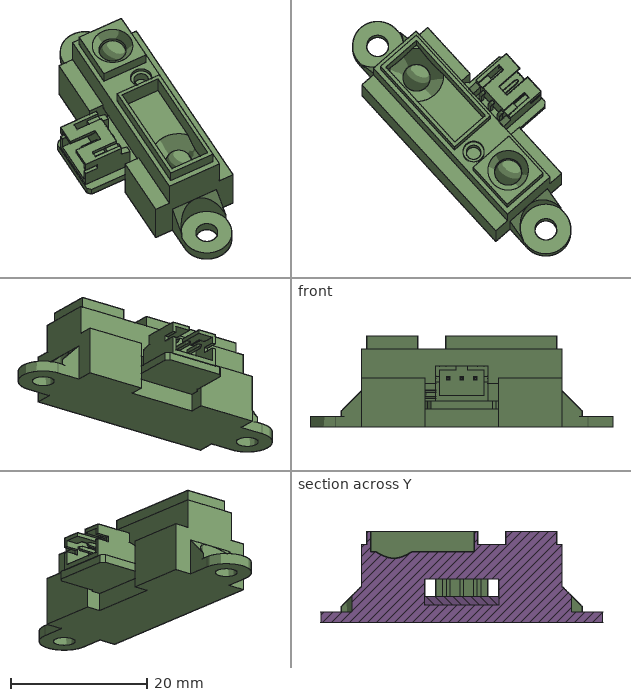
import cadquery as cq
import math

BLOCK_LENGTH = 29.55
BASE_WIDTH = 13.0
BASE_HEIGHT = 7.2
UPPER_WIDTH = 8.4
UPPER_TOP = 11.53
HOUSING_TOP = 13.45

OVERALL_LENGTH = 44.5
EAR_RADIUS = 3.7
EAR_THICKNESS = 1.6
EAR_HOLE_RADIUS = 1.6
EAR_CENTER_X = OVERALL_LENGTH / 2 - EAR_RADIUS
GUSSET_TOP = 5.35
SCREW_CLEARANCE_RADIUS = EAR_CENTER_X - BLOCK_LENGTH / 2

FRAME_WIDTH = 7.08
EMITTER_FRAME_LEFT = -13.97
EMITTER_FRAME_RIGHT = -6.45
RECEIVER_FRAME_LEFT = -2.35
RECEIVER_FRAME_RIGHT = 13.97
POCKET_LEFT = -1.82
POCKET_RIGHT = 13.35
POCKET_WIDTH = 6.0
POCKET_FLOOR = 10.45

LENS_RADIUS = 2.0
EMITTER_X = -10.25
EMITTER_CONE_RADIUS = 3.0
EMITTER_CONE_DEPTH = 1.02
EMITTER_DOME_TOP = 13.3
RECEIVER_X = 9.95
RECEIVER_CONE_RADIUS = 4.0
RECEIVER_CONE_DEPTH = 1.85
RECEIVER_DOME_TOP = POCKET_FLOOR

POST_X = -4.4
POST_Y = 1.6
COUNTERBORE_RADIUS = 1.55
COUNTERBORE_DEPTH = 0.55
POST_HOLE_RADIUS = 1.05
POST_HOLE_DEPTH = 2.0
COLLAR_RADIUS = 2.0
COLLAR_BOTTOM = 5.47
KNOB_RADIUS = 1.55
KNOB_TOP = 5.35
KNOB_BOTTOM = 4.23
KNOB_CHAMFER = 0.25

SLOT_WIDTH = 10.85
SLOT_CEILING = 6.4
SLOT_BACK_WALL = 0.55
SLOT_BACK_Y = UPPER_WIDTH / 2 - SLOT_BACK_WALL

BOARD_BOTTOM = 2.65
BOARD_TOP = 3.85
OVERALL_DEPTH = 18.9
BOARD_FRONT_Y = BASE_WIDTH / 2 - OVERALL_DEPTH
BOARD_NOSE_WIDTH = 10.05
BOARD_SHOULDER_Y = -5.6
BOARD_CORNER_CHAMFER = 0.55

CONNECTOR_WIDTH = 7.65
CONNECTOR_TOP = 9.0
CONNECTOR_FRONT_Y = -12.25
CONNECTOR_BACK_Y = -6.25
CONNECTOR_WALL = 0.55
SOCKET_FLOOR = 4.67
SOCKET_CEILING = 8.4
SOCKET_BACK_Y = -8.1
KEY_SLOT_WIDTH = 1.75
LATCH_SLOT_WIDTH = 1.0
LATCH_SLOT_FRONT_Y = -10.3
SIDE_NOTCH_BOTTOM = 6.68
SIDE_NOTCH_TOP = 7.48
SIDE_NOTCH_BACK_Y = -10.25
LEG_WIDTH = 1.0
LEG_BACK_Y = -4.75
LEG_FRONT_HEIGHT = 7.55
LEG_BACK_HEIGHT = 7.15

PIN_COUNT = 3
PIN_PITCH = 2.0
PIN_SIZE = 0.55
PIN_CENTER_Z = 7.2
PIN_BACK_Y = -5.45
PIN_TIP_Y = -11.1
PIN_TIP_LENGTH = 0.5
PIN_TIP_SIZE = 0.25


def box(x_range, y_range, z_range):
    """Axis-aligned block between the given limits."""
    lengths = [high - low for low, high in (x_range, y_range, z_range)]
    corner = (x_range[0], y_range[0], z_range[0])
    return cq.Workplane("XY").box(*lengths, centered=False).translate(corner)


def centered(width):
    """Limits of a width centred on zero."""
    return (-width / 2, width / 2)


def cylinder(radius, x, y, bottom, top):
    """Upright cylinder at (x, y)."""
    return cq.Workplane("XY", origin=(x, y, bottom)).circle(radius).extrude(top - bottom)


def ear(side):
    """Mounting ear with a sloped gusset, at the end given by side (-1 or 1)."""
    wall_x = BLOCK_LENGTH / 2
    slope_end_x = wall_x + GUSSET_TOP - EAR_THICKNESS
    gusset = (
        cq.Workplane("XZ")
        .polyline([
            (side * wall_x, 0),
            (side * EAR_CENTER_X, 0),
            (side * EAR_CENTER_X, EAR_THICKNESS),
            (side * slope_end_x, EAR_THICKNESS),
            (side * wall_x, GUSSET_TOP),
        ])
        .close()
        .extrude(EAR_RADIUS, both=True)
    )
    center_x = side * EAR_CENTER_X
    clearance = cylinder(SCREW_CLEARANCE_RADIUS, center_x, 0, EAR_THICKNESS, GUSSET_TOP)
    tab = cylinder(EAR_RADIUS, center_x, 0, 0, EAR_THICKNESS)
    hole = cylinder(EAR_HOLE_RADIUS, center_x, 0, 0, EAR_THICKNESS)
    return gusset.cut(clearance).union(tab).cut(hole)


def lens_recess(x, rim_radius, rim_z, cone_depth, dome_top):
    """Cutter for a conical recess with a bore reaching down to the base of the lens dome."""
    bore_top = rim_z - cone_depth
    dome_base = dome_top - LENS_RADIUS
    return (
        cq.Workplane("XZ", origin=(x, 0, 0))
        .polyline([
            (0, rim_z),
            (rim_radius, rim_z),
            (LENS_RADIUS, bore_top),
            (LENS_RADIUS, dome_base),
            (0, dome_base),
        ])
        .close()
        .revolve(360, (0, 0, 0), (0, 1, 0))
    )


def lens_dome(x, dome_top):
    """Hemispherical lens filling the bottom of its bore."""
    arc_mid = LENS_RADIUS * math.sqrt(0.5)
    return (
        cq.Workplane("XZ", origin=(x, 0, dome_top - LENS_RADIUS))
        .lineTo(LENS_RADIUS, 0)
        .threePointArc((arc_mid, arc_mid), (0, LENS_RADIUS))
        .close()
        .revolve(360, (0, 0, 0), (0, 1, 0))
    )


def post():
    """Collar, short neck and chamfered knob hanging from the ceiling of the board slot."""
    collar = cylinder(COLLAR_RADIUS, POST_X, POST_Y, COLLAR_BOTTOM, SLOT_CEILING)
    knob = cylinder(KNOB_RADIUS, POST_X, POST_Y, KNOB_BOTTOM, KNOB_TOP)
    knob = knob.edges("%CIRCLE").chamfer(KNOB_CHAMFER)
    neck = cylinder(KNOB_RADIUS - KNOB_CHAMFER, POST_X, POST_Y, KNOB_TOP, COLLAR_BOTTOM)
    return collar.union(neck).union(knob)


def stepped_block():
    """Wide base, narrower upper block and the two lens frames on its roof."""
    block_x = centered(BLOCK_LENGTH)
    base = box(block_x, centered(BASE_WIDTH), (0, BASE_HEIGHT))
    upper = box(block_x, centered(UPPER_WIDTH), (0, UPPER_TOP))
    frame_z = (UPPER_TOP, HOUSING_TOP)
    emitter_frame = box((EMITTER_FRAME_LEFT, EMITTER_FRAME_RIGHT), centered(FRAME_WIDTH), frame_z)
    receiver_frame = box((RECEIVER_FRAME_LEFT, RECEIVER_FRAME_RIGHT), centered(FRAME_WIDTH), frame_z)
    return base.union(upper).union(emitter_frame).union(receiver_frame)


def add_emitter(body):
    """Sink the emitter lens into the top of its frame."""
    recess = lens_recess(
        EMITTER_X, EMITTER_CONE_RADIUS, HOUSING_TOP, EMITTER_CONE_DEPTH, EMITTER_DOME_TOP
    )
    return body.cut(recess).union(lens_dome(EMITTER_X, EMITTER_DOME_TOP))


def add_receiver(body):
    """Cut the receiver pocket and sink the lens into its floor, within the pocket's outline."""
    pocket_x = (POCKET_LEFT, POCKET_RIGHT)
    pocket = box(pocket_x, centered(POCKET_WIDTH), (POCKET_FLOOR, HOUSING_TOP))
    pocket_column = box(pocket_x, centered(POCKET_WIDTH), (0, HOUSING_TOP))
    recess = lens_recess(
        RECEIVER_X, RECEIVER_CONE_RADIUS, POCKET_FLOOR, RECEIVER_CONE_DEPTH, RECEIVER_DOME_TOP
    ).intersect(pocket_column)
    return body.cut(pocket).cut(recess).union(lens_dome(RECEIVER_X, RECEIVER_DOME_TOP))


def cut_board_slot(body):
    """Open the recess between the front blocks and the board slot behind it."""
    slot_x = centered(SLOT_WIDTH)
    upper_front_y = -UPPER_WIDTH / 2
    front_recess = box(slot_x, (-BASE_WIDTH / 2, upper_front_y), (0, BASE_HEIGHT))
    slot = box(slot_x, (upper_front_y, SLOT_BACK_Y), (BOARD_BOTTOM, SLOT_CEILING))
    return body.cut(front_recess).cut(slot)


def roof_hole():
    """Cutter for the blind counterbored hole in the roof."""
    counterbore = cylinder(COUNTERBORE_RADIUS, POST_X, POST_Y, UPPER_TOP - COUNTERBORE_DEPTH, UPPER_TOP)
    hole = cylinder(POST_HOLE_RADIUS, POST_X, POST_Y, UPPER_TOP - POST_HOLE_DEPTH, UPPER_TOP)
    return counterbore.union(hole)


def make_housing():
    """Sensor housing with lenses, board slot and mounting ears."""
    body = add_receiver(add_emitter(stepped_block()))
    body = cut_board_slot(body).union(post()).cut(roof_hole())
    for side in (-1, 1):
        body = body.union(ear(side))
    return body


def make_board():
    """Circuit board that fills the slot and narrows in front of it."""
    half_slot = SLOT_WIDTH / 2
    half_nose = BOARD_NOSE_WIDTH / 2
    step = half_slot - half_nose
    right_side = [
        (half_slot, SLOT_BACK_Y),
        (half_slot, BOARD_SHOULDER_Y),
        (half_nose, BOARD_SHOULDER_Y - step),
        (half_nose, BOARD_FRONT_Y + BOARD_CORNER_CHAMFER),
        (half_nose - BOARD_CORNER_CHAMFER, BOARD_FRONT_Y),
    ]
    left_side = [(-x, y) for x, y in reversed(right_side)]
    return (
        cq.Workplane("XY", origin=(0, 0, BOARD_BOTTOM))
        .polyline(right_side + left_side)
        .close()
        .extrude(BOARD_TOP - BOARD_BOTTOM)
    )


def connector_leg(inner_x, outer_x):
    """Leg behind the connector with a gently sloping top."""
    return (
        cq.Workplane("YZ", origin=(inner_x, 0, 0))
        .polyline([
            (CONNECTOR_BACK_Y, BOARD_TOP),
            (LEG_BACK_Y, BOARD_TOP),
            (LEG_BACK_Y, LEG_BACK_HEIGHT),
            (CONNECTOR_BACK_Y, LEG_FRONT_HEIGHT),
        ])
        .close()
        .extrude(outer_x - inner_x)
    )


def contact_pin(x):
    """Square pin with a tapered tip, bent down to the board behind the connector."""
    top = PIN_CENTER_Z + PIN_SIZE / 2
    bottom = PIN_CENTER_Z - PIN_SIZE / 2
    shoulder_y = PIN_TIP_Y + PIN_TIP_LENGTH
    outer_bend = PIN_BACK_Y - CONNECTOR_BACK_Y
    inner_bend = outer_bend - PIN_SIZE
    bend_z = top - outer_bend
    diagonal = math.sqrt(0.5)
    shank = (
        cq.Workplane("YZ", origin=(x - PIN_SIZE / 2, 0, 0))
        .moveTo(shoulder_y, bottom)
        .lineTo(shoulder_y, top)
        .lineTo(CONNECTOR_BACK_Y, top)
        .threePointArc(
            (CONNECTOR_BACK_Y + outer_bend * diagonal, bend_z + outer_bend * diagonal),
            (PIN_BACK_Y, bend_z),
        )
        .lineTo(PIN_BACK_Y, BOARD_TOP)
        .lineTo(PIN_BACK_Y - PIN_SIZE, BOARD_TOP)
        .lineTo(PIN_BACK_Y - PIN_SIZE, bend_z)
        .threePointArc(
            (CONNECTOR_BACK_Y + inner_bend * diagonal, bend_z + inner_bend * diagonal),
            (CONNECTOR_BACK_Y, bottom),
        )
        .close()
        .extrude(PIN_SIZE)
    )
    tip = (
        cq.Workplane("XZ", origin=(x, shoulder_y, PIN_CENTER_Z))
        .rect(PIN_SIZE, PIN_SIZE)
        .workplane(offset=PIN_TIP_LENGTH)
        .rect(PIN_TIP_SIZE, PIN_TIP_SIZE)
        .loft(ruled=True)
    )
    return shank.union(tip)


def make_connector():
    """Open-fronted connector shell with its legs and contact pins."""
    shell = box(
        centered(CONNECTOR_WIDTH),
        (CONNECTOR_FRONT_Y, CONNECTOR_BACK_Y),
        (BOARD_TOP, CONNECTOR_TOP),
    )
    socket_width = CONNECTOR_WIDTH - 2 * CONNECTOR_WALL
    socket_y = (CONNECTOR_FRONT_Y, SOCKET_BACK_Y)
    roof_z = (SOCKET_CEILING, CONNECTOR_TOP)
    socket = box(centered(socket_width), socket_y, (SOCKET_FLOOR, SOCKET_CEILING))
    key_slot = box(centered(KEY_SLOT_WIDTH), socket_y, roof_z)
    side_notches = box(
        centered(CONNECTOR_WIDTH),
        (CONNECTOR_FRONT_Y, SIDE_NOTCH_BACK_Y),
        (SIDE_NOTCH_BOTTOM, SIDE_NOTCH_TOP),
    )
    shell = shell.cut(socket).cut(key_slot).cut(side_notches)

    half_width = CONNECTOR_WIDTH / 2
    half_socket = socket_width / 2
    for side in (-1, 1):
        slot_x = sorted((side * half_socket, side * (half_socket - LATCH_SLOT_WIDTH)))
        shell = shell.cut(box(slot_x, (LATCH_SLOT_FRONT_Y, CONNECTOR_BACK_Y), roof_z))
        leg_x = sorted((side * half_width, side * (half_width - LEG_WIDTH)))
        shell = shell.union(connector_leg(*leg_x))

    for index in range(PIN_COUNT):
        pin_x = (index - (PIN_COUNT - 1) / 2) * PIN_PITCH
        shell = shell.union(contact_pin(pin_x))
    return shell


housing = make_housing()
board = make_board()
connector = make_connector()
bodies = (housing, board, connector)
result = cq.Compound.makeCompound([body.solids().val() for body in bodies])